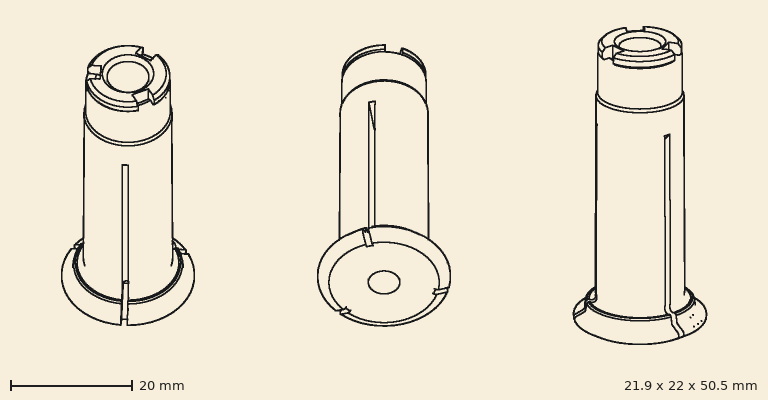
import cadquery as cq
import math

height = 50.5
flange_radius = 21.95 / 2
collar_radius = 9.15
neck_radius = 14.0 / 2
segments = 3

cone_angle = math.radians(30)
rim_low = 1.3
rim_high = 1.6
rim_rounding = 0.4
flange_fillet = 0.5

collar_top = 4.5
collar_flat_radius = 8.7
collar_edge_radius = 9.0
collar_edge_height = 4.2

undercut_radius = 7.3
undercut_top = 5.5
cove_radius = 0.7
cove_height = 5.1

lip_radius = 7.35
lip_low = 5.7
barrel_low = 6.05
barrel_low_radius = 7.4
barrel_high = 40.8
barrel_high_radius = 7.25

neck_low = 41.35
neck_rounding = 0.45
groove_height = 48.45
groove_radius = neck_radius - neck_rounding
head_low = 48.8
head_radius = 6.9
head_chamfer_width = 0.6
head_chamfer_height = 0.65

bore_radius = 5.2 / 2
counterbore_radius = 6.9 / 2
mouth_radius = 8.5 / 2
counterbore_depth = 12.6

first_slot_angle = 180.0
slot_width = 1.05
slot_floor_radius = 8.2 / 2
slot_floor_low = 3.95
slot_floor_high = 33.0
slot_top = 36.1
slot_foot_radius = 8.6

first_notch_angle = 90.0
notch_width = 3.0
notch_wall_radius = 4.55
notch_sink_radius = 10.9 / 2
notch_sink_angle = 30.0

clearance = 2.5
reach = flange_radius + clearance


def arc_point(center, radius, angle):
    """Point on a circle in the profile plane, as (distance from axis, height)."""
    return (
        center[0] + radius * math.cos(angle),
        center[1] + radius * math.sin(angle),
    )


def outer_body():
    """Turned outside shape of the sleeve."""
    slope = math.tan(cone_angle)
    rim_turn = math.pi / 2 - cone_angle
    rim_center_radius = flange_radius - rim_rounding

    lower_rim = (rim_center_radius, rim_low)
    upper_rim = (rim_center_radius, rim_high)
    lower_cone_end = arc_point(lower_rim, rim_rounding, -rim_turn)
    upper_cone_end = arc_point(upper_rim, rim_rounding, rim_turn)
    base_radius = lower_cone_end[0] - lower_cone_end[1] / slope

    cone_start_radius = collar_radius + flange_fillet * (1 - math.sin(cone_angle))
    cone_start_height = upper_cone_end[1] + (upper_cone_end[0] - cone_start_radius) * slope
    fillet_height = cone_start_height + flange_fillet * math.cos(cone_angle)
    fillet_center = (collar_radius + flange_fillet, fillet_height)

    cove_center = (undercut_radius + cove_radius, cove_height)
    cove_angle = -math.asin((cove_height - collar_top) / cove_radius)
    neck_center = (groove_radius, groove_height - neck_rounding)

    profile = (
        cq.Workplane("XZ")
        .moveTo(0, 0)
        .lineTo(base_radius, 0)
        .lineTo(*lower_cone_end)
        .threePointArc(arc_point(lower_rim, rim_rounding, -rim_turn / 2), (flange_radius, rim_low))
        .lineTo(flange_radius, rim_high)
        .threePointArc(arc_point(upper_rim, rim_rounding, rim_turn / 2), upper_cone_end)
        .lineTo(cone_start_radius, cone_start_height)
        .threePointArc(
            arc_point(fillet_center, flange_fillet, math.pi + rim_turn / 2),
            (collar_radius, fillet_height),
        )
        .lineTo(collar_edge_radius, collar_edge_height)
        .lineTo(collar_flat_radius, collar_top)
        .lineTo(*arc_point(cove_center, cove_radius, cove_angle))
        .threePointArc(
            arc_point(cove_center, cove_radius, (cove_angle - math.pi) / 2),
            (undercut_radius, cove_height),
        )
        .lineTo(undercut_radius, undercut_top)
        .lineTo(lip_radius, lip_low)
        .lineTo(barrel_low_radius, barrel_low)
        .lineTo(barrel_high_radius, barrel_high)
        .lineTo(neck_radius, neck_low)
        .lineTo(neck_radius, groove_height - neck_rounding)
        .threePointArc(
            arc_point(neck_center, neck_rounding, math.pi / 4),
            (groove_radius, groove_height),
        )
        .lineTo(head_radius, head_low)
        .lineTo(head_radius, height - head_chamfer_height)
        .lineTo(head_radius - head_chamfer_width, height)
        .lineTo(0, height)
        .close()
    )
    return profile.revolve(360, (0, 0, 0), (0, 1, 0))


def bore():
    """Stepped through bore with a conical mouth at the top."""
    mouth_depth = mouth_radius - counterbore_radius
    profile = (
        cq.Workplane("XZ")
        .moveTo(0, 0)
        .lineTo(bore_radius, 0)
        .lineTo(bore_radius, height - counterbore_depth)
        .lineTo(counterbore_radius, height - counterbore_depth)
        .lineTo(counterbore_radius, height - mouth_depth)
        .lineTo(mouth_radius, height)
        .lineTo(0, height)
        .close()
    )
    return profile.revolve(360, (0, 0, 0), (0, 1, 0))


def clamping_slot():
    """Slot along +X: sloping ends and a round-bottomed floor between them."""
    high_run = slot_top - slot_floor_high
    side = (
        cq.Workplane("XZ")
        .moveTo(slot_foot_radius, 0)
        .lineTo(slot_floor_radius, slot_floor_low)
        .lineTo(slot_floor_radius, slot_floor_high)
        .lineTo(slot_floor_radius + high_run, slot_top)
        .lineTo(reach, slot_top)
        .lineTo(reach, 0)
        .close()
        .extrude(slot_width / 2, both=True)
    )
    round_floor = (
        cq.Workplane("XY", origin=(slot_floor_radius, 0, slot_floor_low))
        .circle(slot_width / 2)
        .extrude(slot_floor_high - slot_floor_low)
    )
    return side.union(round_floor)


def drive_notch():
    """Notch along +X: flat seat at the groove, sunk conically towards its inner wall."""
    sink_depth = notch_sink_radius * math.tan(math.radians(notch_sink_angle))
    above_seat = (
        cq.Workplane("XZ")
        .moveTo(0, groove_height - sink_depth)
        .lineTo(notch_sink_radius, groove_height)
        .lineTo(reach, groove_height)
        .lineTo(reach, height)
        .lineTo(0, height)
        .close()
        .revolve(360, (0, 0, 0), (0, 1, 0))
    )
    channel = (
        cq.Workplane("XY")
        .box(reach, notch_width, height, centered=(False, True, False))
        .translate((notch_wall_radius, 0, 0))
    )
    return above_seat.intersect(channel)


result = outer_body().cut(bore())

slot = clamping_slot()
notch = drive_notch()
pitch = 360.0 / segments
for index in range(segments):
    slot_angle = first_slot_angle + index * pitch
    notch_angle = first_notch_angle + index * pitch
    result = result.cut(slot.rotate((0, 0, 0), (0, 0, 1), slot_angle))
    result = result.cut(notch.rotate((0, 0, 0), (0, 0, 1), notch_angle))